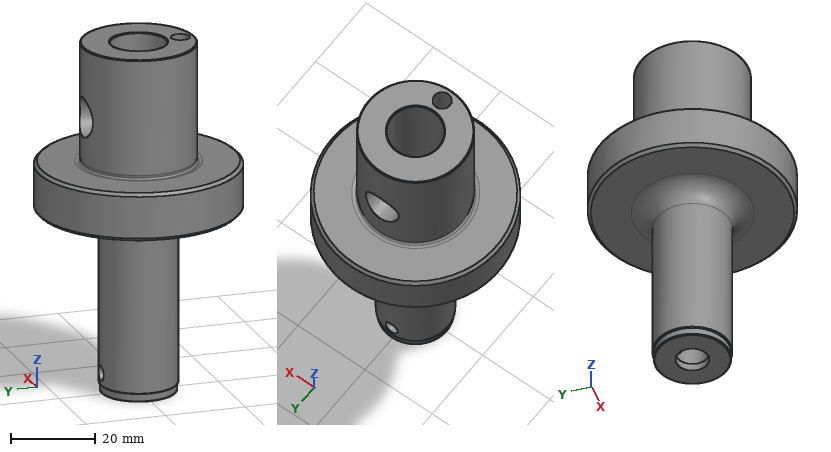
import cadquery as cq
import math

total_height = 87.5
end_ring_height = 2.0
flange_top = 57.7
flange_thickness = 12.0
flange_bottom = flange_top - flange_thickness

head_radius = 14.0
flange_diameter = 50.0
flange_radius = flange_diameter / 2
shank_radius = 9.5

head_chamfer = 0.3
flange_chamfer = 0.8
shank_fillet = 5.1
shank_chamfer = 0.3
end_ring_chamfer = 0.3
end_ring_radius = shank_radius - shank_chamfer

relief_height = 1.0
relief_cone_height = 0.7
relief_cone_angle = math.radians(15)
relief_floor_depth = 0.2
relief_floor_radius = 14.35
relief_outer_radius = 15.2

socket_radius = 6.8
socket_chamfer = 0.3
socket_depth = 35.0
through_radius = 4.0
drill_half_angle = math.radians(59)

side_hole_radius = 2.3
side_hole_offset = 10.5
side_hole_depth = 17.5

head_screw_radius = 4.9
head_screw_height = 70.0
shank_screw_radius = 1.8
shank_screw_height = 5.25


def revolve_about_z(profile):
    """Revolve a closed XZ profile a full turn about the Z axis."""
    return profile.close().revolve(360, (0, 0, 0), (0, 1, 0))


def arbor_blank():
    """Head, flange and shank turned as one solid piece."""
    fillet_centre_radius = shank_radius + shank_fillet
    fillet_centre_height = flange_bottom - shank_fillet
    fillet_mid_offset = shank_fillet * math.sqrt(0.5)

    cone_end_radius = head_radius - relief_cone_height * math.tan(relief_cone_angle)
    cone_end_height = flange_top + relief_height - relief_cone_height
    floor_height = flange_top - relief_floor_depth
    arc_radius = (cone_end_height - floor_height) / (1 + math.sin(relief_cone_angle))
    arc_centre_radius = cone_end_radius + arc_radius * math.cos(relief_cone_angle)
    arc_half_sweep = (math.pi / 2 + relief_cone_angle) / 2
    arc_middle = (
        arc_centre_radius - arc_radius * math.sin(arc_half_sweep),
        floor_height + arc_radius * (1 - math.cos(arc_half_sweep)),
    )

    return revolve_about_z(
        cq.Workplane("XZ")
        .moveTo(0, end_ring_height)
        .lineTo(end_ring_radius, end_ring_height)
        .lineTo(shank_radius, end_ring_height + shank_chamfer)
        .lineTo(shank_radius, fillet_centre_height)
        .threePointArc(
            (fillet_centre_radius - fillet_mid_offset, fillet_centre_height + fillet_mid_offset),
            (fillet_centre_radius, flange_bottom),
        )
        .lineTo(flange_radius - flange_chamfer, flange_bottom)
        .lineTo(flange_radius, flange_bottom + flange_chamfer)
        .lineTo(flange_radius, flange_top - flange_chamfer)
        .lineTo(flange_radius - flange_chamfer, flange_top)
        .lineTo(relief_outer_radius, flange_top)
        .lineTo(relief_floor_radius, floor_height)
        .lineTo(arc_centre_radius, floor_height)
        .threePointArc(arc_middle, (cone_end_radius, cone_end_height))
        .lineTo(head_radius, flange_top + relief_height)
        .lineTo(head_radius, total_height - head_chamfer)
        .lineTo(head_radius - head_chamfer, total_height)
        .lineTo(0, total_height)
    )


def central_bore():
    """Cutter for the chamfered socket, its cone and the through hole."""
    socket_floor = total_height - socket_depth
    cone_height = (socket_radius - through_radius) / math.tan(drill_half_angle)

    return revolve_about_z(
        cq.Workplane("XZ")
        .moveTo(0, 0)
        .lineTo(through_radius, 0)
        .lineTo(through_radius, socket_floor - cone_height)
        .lineTo(socket_radius, socket_floor)
        .lineTo(socket_radius, total_height - socket_chamfer)
        .lineTo(socket_radius + socket_chamfer, total_height)
        .lineTo(0, total_height)
    )


def side_hole():
    """Cutter for the blind hole with a drill-point floor."""
    floor = total_height - side_hole_depth
    point_height = side_hole_radius / math.tan(drill_half_angle)

    return revolve_about_z(
        cq.Workplane("XZ")
        .moveTo(0, floor - point_height)
        .lineTo(side_hole_radius, floor)
        .lineTo(side_hole_radius, total_height)
        .lineTo(0, total_height)
    ).translate((0, -side_hole_offset, 0))


def radial_hole(radius, height):
    """Cutter along +Y from the central axis out past the head."""
    return cq.Workplane("XZ").center(0, height).circle(radius).extrude(-flange_radius)


def make_arbor():
    return (
        arbor_blank()
        .cut(central_bore())
        .cut(side_hole())
        .cut(radial_hole(head_screw_radius, head_screw_height))
        .cut(radial_hole(shank_screw_radius, shank_screw_height))
    )


def make_end_ring():
    """Ring on the free end of the shank, around the through hole."""
    return (
        cq.Workplane("XY")
        .circle(end_ring_radius)
        .extrude(end_ring_height)
        .faces("<Z")
        .edges()
        .chamfer(end_ring_chamfer)
        .cut(central_bore())
    )


arbor = make_arbor()
end_ring = make_end_ring()

result = cq.Compound.makeCompound([arbor.val(), end_ring.val()])